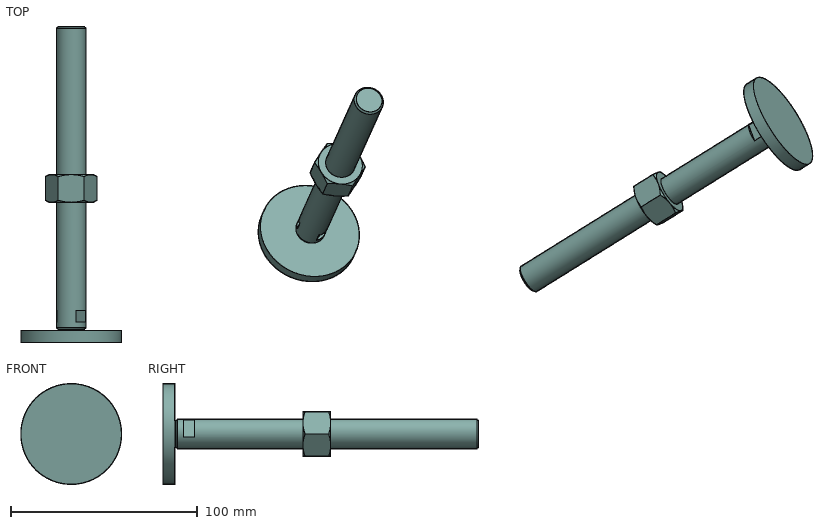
import cadquery as cq
import math

overall_length = 169.0

plate_diameter = 54.0
plate_thickness = 6.5

stud_diameter = 16.0
stud_chamfer = 1.0
neck_diameter = stud_diameter - 2 * stud_chamfer
neck_length = 0.5
shank_start = plate_thickness + neck_length
shank_length = overall_length - shank_start

flats_width = 12.0
flats_length = 6.0
flats_start = 11.0
flats_tilt = 30.0

nut_width = 24.0
nut_corner_diameter = nut_width / math.cos(math.pi / 6)
nut_thickness = 14.8
nut_start = 75.0
nut_chamfer_angle = 30.0


def plane_at(distance):
    """Workplane facing +Y at a distance along the axis, with its local x along +X."""
    return cq.Workplane(cq.Plane(origin=(0, distance, 0), xDir=(1, 0, 0), normal=(0, 1, 0)))


def make_plate():
    return plane_at(0).circle(plate_diameter / 2).extrude(plate_thickness)


def make_flats_cutter():
    """A disc with a straight band left out, which leaves the two parallel flats on the stud."""
    disc = plane_at(flats_start).circle(stud_diameter).extrude(flats_length)
    band = plane_at(flats_start).rect(flats_width, 2 * stud_diameter).extrude(flats_length)
    return disc.cut(band).rotate((0, 0, 0), (0, 1, 0), -flats_tilt)


def make_stud():
    """Shank chamfered at both ends, standing on the plate by a short neck."""
    shank = plane_at(shank_start).circle(stud_diameter / 2).extrude(shank_length)
    shank = shank.faces("<Y or >Y").chamfer(stud_chamfer)
    neck = plane_at(plate_thickness).circle(neck_diameter / 2).extrude(neck_length)
    return shank.union(neck).cut(make_flats_cutter())


def make_nut():
    """Hexagon with two corners on the X axis, its corners turned down to a cone at both ends."""
    hexagon = plane_at(nut_start).polygon(6, nut_corner_diameter).extrude(nut_thickness)

    corner_radius = nut_corner_diameter / 2
    chamfer_radial = corner_radius - nut_width / 2
    chamfer_axial = chamfer_radial * math.tan(math.radians(nut_chamfer_angle))
    nut_end = nut_start + nut_thickness
    half_profile = [
        (0, nut_start),
        (nut_width / 2, nut_start),
        (corner_radius, nut_start + chamfer_axial),
        (corner_radius, nut_end - chamfer_axial),
        (nut_width / 2, nut_end),
        (0, nut_end),
    ]
    envelope = cq.Workplane("XY").polyline(half_profile).close().revolve(360, (0, 0, 0), (0, 1, 0))

    bore = plane_at(nut_start).circle(stud_diameter / 2).extrude(nut_thickness)
    return hexagon.intersect(envelope).cut(bore)


plate = make_plate()
stud = make_stud()
nut = make_nut()

result = cq.Compound.makeCompound([plate.val(), stud.val(), nut.val()])